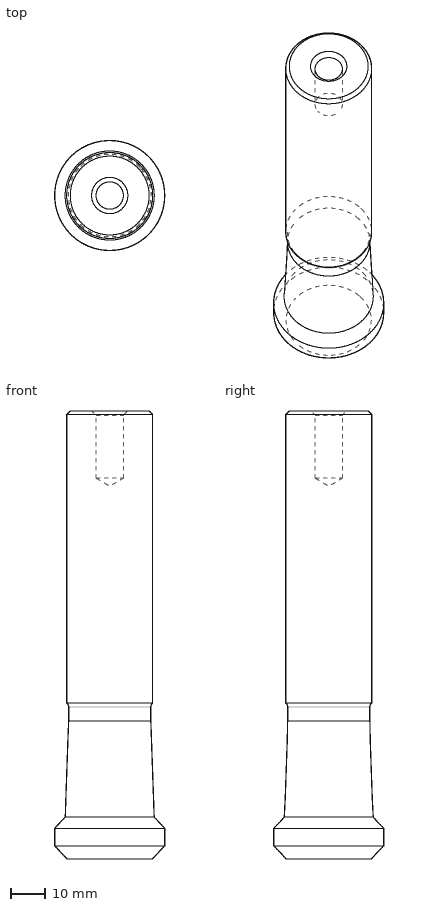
import cadquery as cq
import math

total_height = 130.2
head_rim_bottom_z = 3.9
head_rim_top_z = 9.0
taper_bottom_z = 12.2
joint_z = 40.1
neck_top_z = 44.3
shank_bottom_z = 45.3

head_diameter = 32.0
head_base_diameter = 24.7
taper_bottom_diameter = 25.9
neck_diameter = 24.0
shank_diameter = 25.0

shank_chamfer = 1.0
hole_diameter = 8.0
hole_mouth_diameter = 10.5
hole_depth = 19.5
drill_tip_angle = 118.0


def revolve_profile(points):
    """Revolve a closed (radius, z) outline around the Z axis."""
    return cq.Workplane("XZ").polyline(points).close().revolve(360, (0, 0), (0, 1))


def make_foot():
    """Tapered foot with a double-bevelled round head at the bottom."""
    return revolve_profile([
        (0, 0),
        (head_base_diameter / 2, 0),
        (head_diameter / 2, head_rim_bottom_z),
        (head_diameter / 2, head_rim_top_z),
        (taper_bottom_diameter / 2, taper_bottom_z),
        (neck_diameter / 2, joint_z),
        (0, joint_z),
    ])


def make_centre_hole():
    """Countersunk blind hole with a conical drill tip."""
    hole_radius = hole_diameter / 2
    mouth_radius = hole_mouth_diameter / 2
    countersink_depth = mouth_radius - hole_radius
    wall_end_z = total_height - hole_depth
    tip_depth = hole_radius / math.tan(math.radians(drill_tip_angle / 2))
    return revolve_profile([
        (0, wall_end_z - tip_depth),
        (hole_radius, wall_end_z),
        (hole_radius, total_height - countersink_depth),
        (mouth_radius, total_height),
        (0, total_height),
    ])


def make_shank():
    """Straight shank with a narrower neck blended in by an arc, a chamfered top and a centre hole."""
    shank_radius = shank_diameter / 2
    neck_radius = neck_diameter / 2
    outline = (
        cq.Workplane("XZ")
        .moveTo(0, joint_z)
        .lineTo(neck_radius, joint_z)
        .lineTo(neck_radius, neck_top_z)
        .tangentArcPoint((shank_radius, shank_bottom_z), relative=False)
        .lineTo(shank_radius, total_height - shank_chamfer)
        .lineTo(shank_radius - shank_chamfer, total_height)
        .lineTo(0, total_height)
        .close()
    )
    body = outline.revolve(360, (0, 0), (0, 1))
    return body.cut(make_centre_hole())


foot = make_foot()
shank = make_shank()

result = cq.Compound.makeCompound([foot.val(), shank.val()])